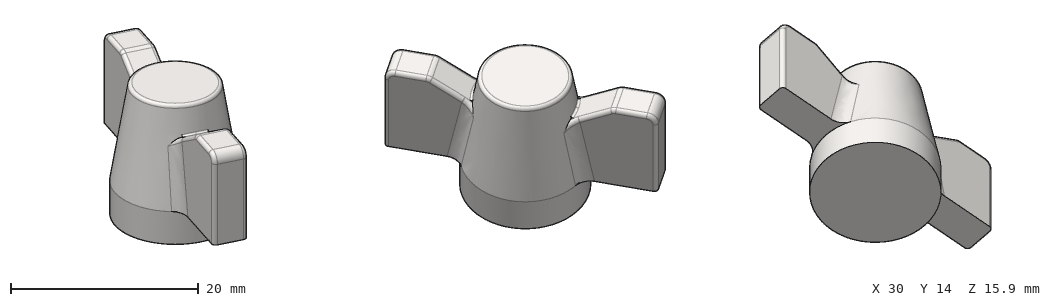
import cadquery as cq

span = 30.0
base_diameter = 14.0
base_height = 4.0
total_height = 15.87
cone_top_radius = 5.0
cone_top_round = 0.45

wing_thickness = 4.0
wing_top = 15.0
wing_shoulder = 10.08
wing_slope_run = 6.0
wing_slope_drop = 3.55
wing_corner_radius = 1.2
wing_edge_round = 0.48
blend_radius = 1.98

root_radius = 0.2

base_radius = base_diameter / 2
half_span = span / 2
side_tolerance = 0.15


def make_hub():
    """Cylindrical base with a tapered, round-edged cap."""
    hub = (
        cq.Workplane("XZ")
        .lineTo(base_radius, 0)
        .lineTo(base_radius, base_height)
        .lineTo(cone_top_radius, total_height)
        .lineTo(0, total_height)
        .close()
        .revolve(360, (0, 0, 0), (0, 1, 0))
    )
    return hub.faces(">Z").edges().fillet(cone_top_round).rotate((0, 0, 0), (0, 0, 1), 90)


def make_wing():
    """Flat wing on the +X side of the hub."""
    wing = (
        cq.Workplane("XZ")
        .moveTo(0, base_height)
        .lineTo(half_span, base_height)
        .lineTo(half_span, wing_top)
        .lineTo(wing_shoulder, wing_top)
        .lineTo(wing_shoulder - wing_slope_run, wing_top - wing_slope_drop)
        .lineTo(0, wing_top - wing_slope_drop)
        .close()
        .extrude(wing_thickness / 2, both=True)
    )
    wing = wing.faces(">X").edges(">Z").fillet(wing_corner_radius)
    shoulder_edge = cq.selectors.NearestToPointSelector((wing_shoulder, 0, wing_top))
    return wing.edges(shoulder_edge).fillet(wing_corner_radius)


def side_edges(body):
    """Edges above the base that lie on the +Y side of the wing."""
    half = wing_thickness / 2
    return [
        edge
        for edge in body.edges().vals()
        if abs(edge.Center().y - half) < side_tolerance and edge.Center().z > base_height + side_tolerance
    ]


def blend_wing_side(body):
    """Concave blend along the upright seam between the wing side and the cone."""
    seams = [
        edge
        for edge in side_edges(body)
        if edge.Center().x < base_radius and edge.BoundingBox().zlen > base_height
    ]
    return body.newObject(seams).fillet(blend_radius)


def round_wing_rim(body):
    """Round along the end and top rim of the wing."""
    rim = [edge for edge in side_edges(body) if edge.Center().x > base_radius]
    return body.newObject(rim).fillet(wing_edge_round)


def make_root_blend(body):
    """Small concave blend between the wing slope and the cone, inside the wing rim."""
    slope_rate = wing_slope_drop / wing_slope_run
    cone_rate = (base_radius - cone_top_radius) / (total_height - base_height)
    level_run = wing_shoulder - base_radius + cone_rate * (wing_top - base_height)
    root_z = wing_top - level_run * slope_rate / (1 + slope_rate * cone_rate)
    root_x = base_radius - cone_rate * (root_z - base_height)
    root_edge = cq.selectors.NearestToPointSelector((root_x, wing_thickness / 4, root_z))
    blended = body.edges(root_edge).fillet(root_radius)

    inner_width = wing_thickness / 2 - wing_edge_round
    reach = 4 * root_radius
    window = (
        cq.Workplane()
        .box(2 * reach, inner_width, 2 * reach, centered=(True, False, True))
        .translate((root_x, 0, root_z))
    )
    return blended.intersect(window)


quadrant = cq.Workplane().box(span, span, total_height, centered=False)
sharp_quarter = make_hub().union(make_wing()).intersect(quadrant)
quarter = round_wing_rim(blend_wing_side(sharp_quarter))
quarter = cq.Workplane(quarter.val().fix()).union(make_root_blend(sharp_quarter))

half_knob = quarter.union(quarter.mirror("XZ"))
result = half_knob.union(half_knob.mirror("YZ")).clean()